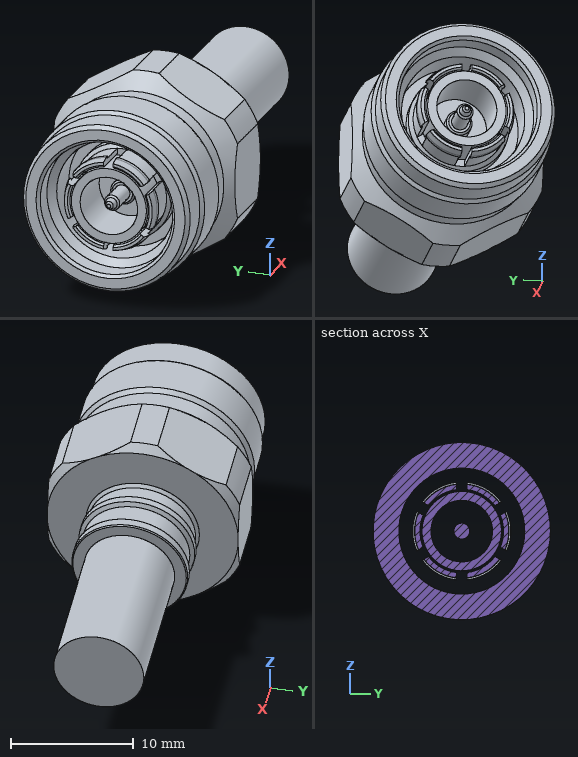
import cadquery as cq
import math


nose_radius = 7.25
nose_chamfer = 0.33
band_radius = 7.55
band_front = 2.62
band_back = 6.67
band_front_bevel = 0.3
band_back_bevel = 0.4

hex_across_flats = 15.87
hex_corner_radius = 17.15 / 2
hex_cone_front = 8.27
hex_back = 15.05
hex_back_chamfer = 0.63

neck_radius = 4.45
neck_root_bevel = 0.25
ring_radius = 4.8
first_ring_front = 16.65
first_ring_back = 17.65
second_ring_front = 19.5
second_ring_back = 20.45
ring_bevel = 0.15
first_ring_back_bevel = 0.2
rear_edge_bevel = 0.1
tube_radius = 3.75
overall_length = 33.2

socket_radius = 5.75
socket_chamfer = 0.25
socket_cone_front = 1.83
socket_cone_back = 2.42
socket_deep_radius = 5.1
socket_floor = 5.3

collet_front = 0.7
collet_bore_radius = 3.4
collet_bore_chamfer = 0.15
collet_tip_radius = 3.82
collet_lip_radius = 4.02
collet_lip_cone = 0.63
collet_lip_land = 0.33
collet_neck_radius = 3.85
collet_base_radius = 4.18
collet_base_cone = 0.33
slot_floor = 4.0
slot_width = 0.83
slot_count = 6

sleeve_radius = 3.25
sleeve_bore_radius = 2.5
sleeve_front = 0.83
pin_tip = 0.8
pin_radius = 0.65
pin_tip_radius = 0.15
pin_tip_bevel = 0.15
pin_nose_length = 0.45
pin_nose_radius = 0.5
pin_nose_bevel = 0.15
pin_shoulder = 4.0
pin_base_radius = 1.05
pin_base_chamfer = 0.15


def revolve(points):
    """Revolve a closed outline of (x, radius) points about the X axis."""
    outline = cq.Workplane("XY").polyline(points).close()
    return outline.revolve(360, (0, 0, 0), (1, 0, 0))


def cylinder(radius, start, end):
    """Cylinder along X between two stations."""
    return cq.Workplane("YZ").workplane(offset=start).circle(radius).extrude(end - start)


def bevelled_ring(front, back, base_radius, top_radius, front_bevel, back_bevel):
    """Outline points of a raised ring with sloping shoulders."""
    return [
        (front, base_radius),
        (front + front_bevel, top_radius),
        (back - back_bevel, top_radius),
        (back, base_radius),
    ]


def make_body():
    """Solid outer shape of the nut front, neck and rear tube, without the hexagon."""
    points = [(0, 0), (0, nose_radius - nose_chamfer), (nose_chamfer, nose_radius)]
    points += bevelled_ring(
        band_front, band_back, nose_radius, band_radius, band_front_bevel, band_back_bevel
    )
    points += [
        (hex_cone_front, nose_radius),
        (hex_back, nose_radius),
        (hex_back, neck_radius + neck_root_bevel),
        (hex_back + neck_root_bevel, neck_radius),
    ]
    points += bevelled_ring(
        first_ring_front, first_ring_back, neck_radius, ring_radius, ring_bevel, first_ring_back_bevel
    )
    points += [
        (second_ring_front, neck_radius),
        (second_ring_front + ring_bevel, ring_radius),
        (second_ring_back - rear_edge_bevel, ring_radius),
        (second_ring_back, ring_radius - rear_edge_bevel),
        (second_ring_back, tube_radius),
        (overall_length, tube_radius),
        (overall_length, 0),
    ]
    return revolve(points)


def make_hexagon():
    """Hexagon with flats facing +Y and -Y, trimmed by 45 degree cones and a round envelope."""
    corner_diameter = hex_across_flats / math.cos(math.pi / 6)
    prism = (
        cq.Workplane("YZ")
        .workplane(offset=hex_cone_front)
        .transformed(rotate=(0, 0, 30))
        .polygon(6, corner_diameter)
        .extrude(hex_back - hex_cone_front)
    )
    front_cone_length = hex_corner_radius - nose_radius
    envelope = revolve([
        (hex_cone_front, 0),
        (hex_cone_front, nose_radius),
        (hex_cone_front + front_cone_length, hex_corner_radius),
        (hex_back - hex_back_chamfer, hex_corner_radius),
        (hex_back, hex_corner_radius - hex_back_chamfer),
        (hex_back, 0),
    ])
    return prism.intersect(envelope)


def make_socket():
    """Cavity in the coupling nut around the collet, as a cutting tool."""
    return revolve([
        (0, 0),
        (0, socket_radius + socket_chamfer),
        (socket_chamfer, socket_radius),
        (socket_cone_front, socket_radius),
        (socket_cone_back, socket_deep_radius),
        (socket_floor, socket_deep_radius),
        (socket_floor, 0),
    ])


def make_collet():
    """Collet with an outward lip, split by radial slots into spring fingers."""
    lip_land_front = collet_front + collet_lip_cone
    lip_back = lip_land_front + collet_lip_land
    collet = revolve([
        (collet_front, collet_bore_radius + collet_bore_chamfer),
        (collet_front, collet_tip_radius),
        (lip_land_front, collet_lip_radius),
        (lip_back, collet_lip_radius),
        (lip_back, collet_neck_radius),
        (slot_floor, collet_neck_radius),
        (slot_floor + collet_base_cone, collet_base_radius),
        (socket_floor, collet_base_radius),
        (socket_floor, sleeve_bore_radius),
        (slot_floor, sleeve_bore_radius),
        (slot_floor, collet_bore_radius),
        (collet_front + collet_bore_chamfer, collet_bore_radius),
    ])
    slot_length = slot_floor - collet_front
    slot = cq.Workplane("XY").box(
        slot_length, slot_width, collet_base_radius, centered=(False, True, False)
    ).translate((collet_front, 0, 0))
    for index in range(slot_count):
        angle = index * 360 / slot_count
        collet = collet.cut(slot.rotate((0, 0, 0), (1, 0, 0), angle))
    return collet


def make_sleeve():
    """Insulator sleeve standing inside the collet."""
    outside = cylinder(sleeve_radius, sleeve_front, socket_floor)
    return outside.cut(cylinder(sleeve_bore_radius, sleeve_front, socket_floor))


def make_pin():
    """Centre pin with a tapered tip and a chamfered thicker base."""
    nose_front = pin_tip + pin_tip_bevel
    nose_back = nose_front + pin_nose_length
    tip = revolve([
        (pin_tip, 0),
        (pin_tip, pin_tip_radius),
        (nose_front, pin_tip_radius + pin_tip_bevel),
        (nose_back, pin_nose_radius),
        (nose_back + pin_nose_bevel, pin_radius),
        (socket_floor, pin_radius),
        (socket_floor, 0),
    ])
    base = cylinder(pin_base_radius, pin_shoulder, socket_floor)
    base = base.faces("<X").edges().chamfer(pin_base_chamfer)
    return tip.union(base)


result = make_body().union(make_hexagon()).cut(make_socket())
result = result.union(make_collet()).union(make_sleeve()).union(make_pin())